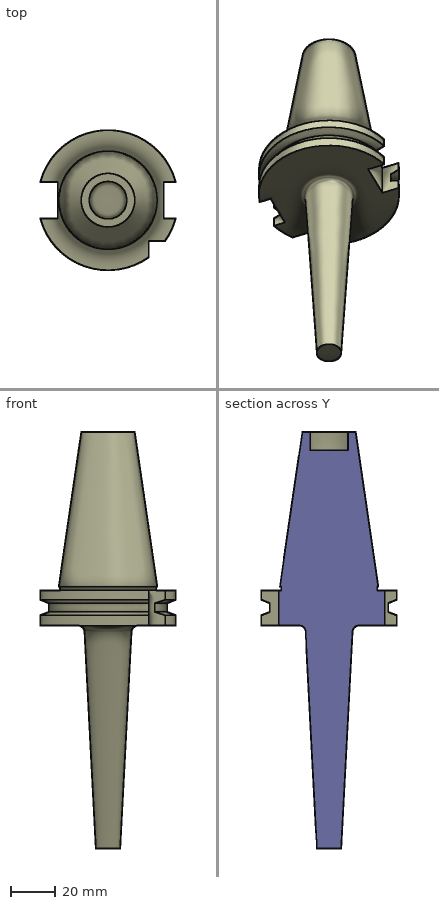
import cadquery as cq
import math

total_height = 188.4
flange_bottom = 100.8
flange_thickness = 16.0
flange_top = flange_bottom + flange_thickness

gauge_radius = 22.2
gauge_band = 0.5
taper_slope = 7 / 24 / 2
neck_radius = 21.9
neck_height = 1.7
band_bottom = flange_top + neck_height
taper_base = band_bottom + gauge_band
taper_small_radius = gauge_radius - (total_height - taper_base) * taper_slope

bore_radius = 8.5
bore_depth = 8.3

flange_diameter = 63.5
flange_radius = flange_diameter / 2
groove_floor_radius = 28.0
upper_lip = 4.3
lower_lip = 4.7
groove_floor_width = 4.0
groove_slope = (flange_thickness - upper_lip - lower_lip - groove_floor_width) / 2
groove_bottom = flange_bottom + lower_lip
groove_top = flange_top - upper_lip

slot_width = 16.4
left_slot_floor = 22.8
right_slot_floor = 25.2
notch_offset = 18.5

tip_diameter = 11.1
tip_radius = tip_diameter / 2
stem_half_angle = math.radians(3)
stem_fillet = 2.8
stem_top = flange_bottom - stem_fillet
stem_top_radius = tip_radius + stem_top * math.tan(stem_half_angle)
fillet_inset = stem_fillet * (1 - math.sqrt(0.5))


def turned_body():
    """Revolve the half profile of the stem, flange and taper about Z."""
    return (
        cq.Workplane("XZ")
        .moveTo(0, 0)
        .lineTo(tip_radius, 0)
        .lineTo(stem_top_radius, stem_top)
        .threePointArc(
            (stem_top_radius + fillet_inset, flange_bottom - fillet_inset),
            (stem_top_radius + stem_fillet, flange_bottom),
        )
        .lineTo(flange_radius, flange_bottom)
        .lineTo(flange_radius, groove_bottom)
        .lineTo(groove_floor_radius, groove_bottom + groove_slope)
        .lineTo(groove_floor_radius, groove_top - groove_slope)
        .lineTo(flange_radius, groove_top)
        .lineTo(flange_radius, flange_top)
        .lineTo(neck_radius, flange_top)
        .lineTo(neck_radius, band_bottom)
        .lineTo(gauge_radius, band_bottom)
        .lineTo(gauge_radius, taper_base)
        .lineTo(taper_small_radius, total_height)
        .lineTo(0, total_height)
        .close()
        .revolve(360, (0, 0), (0, 1))
    )


def flange_cutter(x_min, x_max, y_min, y_max):
    """Box through the full flange thickness."""
    return (
        cq.Workplane("XY", origin=(0, 0, flange_bottom))
        .moveTo((x_min + x_max) / 2, (y_min + y_max) / 2)
        .rect(x_max - x_min, y_max - y_min)
        .extrude(flange_thickness)
    )


half_slot = slot_width / 2
left_slot = flange_cutter(-flange_radius, -left_slot_floor, -half_slot, half_slot)
right_slot = flange_cutter(right_slot_floor, flange_radius, -half_slot, half_slot)
corner_notch = flange_cutter(notch_offset, flange_radius, -flange_radius, -notch_offset)
bore = cq.Workplane("XY", origin=(0, 0, total_height)).circle(bore_radius).extrude(-bore_depth)

result = turned_body().cut(left_slot).cut(right_slot).cut(corner_notch).cut(bore)